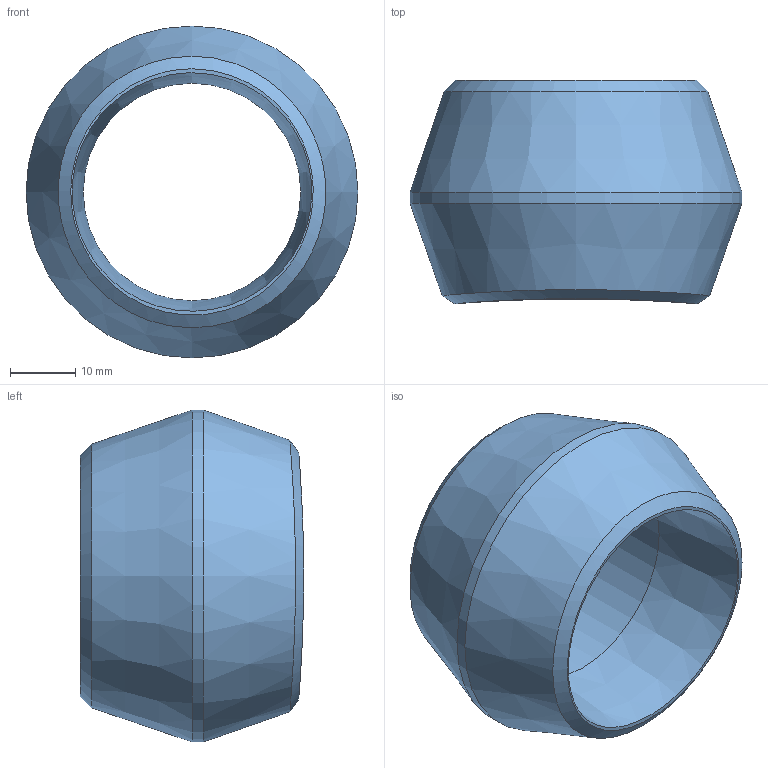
import cadquery as cq


height = 33.42
band_radius = 25.4
band_width = 1.7
band_start = 14.6
saddle_radius = 20.3
flat_end_radius = 18.45
bevel_size = 1.72

bore_radius = 16.65
mouth_radius = 18.25
taper_length = 14.6

run_pipe_radius = 228.6
saddle_chamfer = 1.45
overrun = 3.0


def revolve_about_y(profile):
    """Turn a (radius, y) outline about the Y axis."""
    outline = [(y, radius) for radius, y in profile]
    return cq.Workplane("YZ").polyline(outline).close().revolve(360, (0, 0, 0), (1, 0, 0))


def body_blank():
    """Solid double cone, carried past the saddle along the lower cone."""
    cone_slope = (band_radius - saddle_radius) / band_start
    return revolve_about_y([
        (0, -overrun),
        (saddle_radius - overrun * cone_slope, -overrun),
        (band_radius, band_start),
        (band_radius, band_start + band_width),
        (flat_end_radius + bevel_size, height - bevel_size),
        (flat_end_radius, height),
        (0, height),
    ])


def run_pipe():
    """Cylinder along Z whose crown touches Y = 0."""
    return (
        cq.Workplane("XY")
        .center(0, -run_pipe_radius)
        .circle(run_pipe_radius)
        .extrude(2 * band_radius, both=True)
    )


def bore():
    """Straight bore that widens in a cone towards the saddle."""
    taper_slope = (mouth_radius - bore_radius) / taper_length
    return revolve_about_y([
        (0, -overrun),
        (mouth_radius + overrun * taper_slope, -overrun),
        (bore_radius, taper_length),
        (bore_radius, height),
        (0, height),
    ])


saddled_body = body_blank().cut(run_pipe())
saddle_rim = saddled_body.faces("<Y").edges()
result = saddle_rim.chamfer(saddle_chamfer).cut(bore())